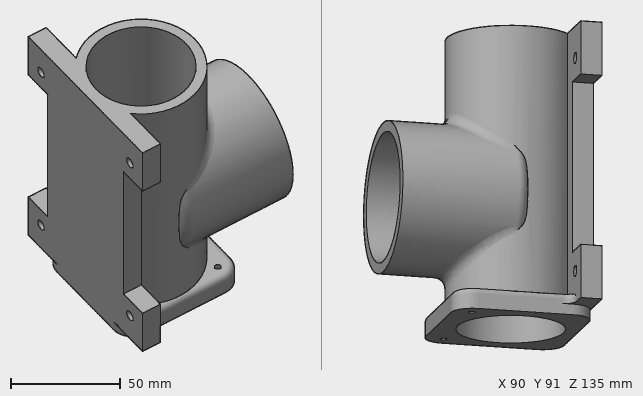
import cadquery as cq

height = 135.0
bore_radius = 25.0
wall = 5.0
pipe_radius = bore_radius + wall
pipe_axis_y = 31.0

branch_radius = 35.0
branch_bore_radius = branch_radius - wall
branch_end_y = 91.0
branch_axis_z = 58.0
branch_length = branch_end_y - pipe_axis_y
blend_radius = 5.0

flange_size = 65.0
flange_thickness = 10.0
flange_corner_radius = 10.0
flange_rim_radius = 3.0
flange_blend_radius = 5.0
flange_hole_diameter = 3.0
flange_hole_offset = 25.0

plate_width = 90.0
plate_thickness = 10.0
plate_bottom_z = 5.0
plate_height = height - plate_bottom_z
web_width = 2 * pipe_radius
ear_height = 25.0
ear_hole_diameter = 5.0
ear_hole_side_distance = 10.0
ear_hole_end_distance = 15.0


def block(width, depth, base_z, block_height):
    """Block centred on X = 0 with its back face on Y = 0."""
    return (
        cq.Workplane("XY", origin=(0, 0, base_z))
        .box(width, depth, block_height, centered=(True, False, False))
    )


def upright_cylinder(radius):
    """Full-height cylinder on the main pipe axis, its seam line turned to -Y, inside the plate."""
    axis_plane = cq.Plane(origin=(0, pipe_axis_y, 0), xDir=(0, -1, 0), normal=(0, 0, 1))
    return cq.Workplane(axis_plane).circle(radius).extrude(height)


def branch_cylinder(radius, both=False):
    """Cylinder on the branch axis, from the main pipe axis to +Y or to both sides."""
    start = (0, pipe_axis_y, branch_axis_z)
    return cq.Workplane("XZ", origin=start).circle(radius).extrude(-branch_length, both=both)


def make_branch(pipe):
    """Solid branch outside the pipe, blended into it and rounded at its two end shoulders."""
    cross = pipe.union(branch_cylinder(branch_radius, both=True))
    junction_loops = cross.edges("%BSPLINE")
    cross = junction_loops.fillet(blend_radius)

    depth_behind_axis = branch_length
    behind_axis = block(plate_width, depth_behind_axis, 0, height)
    behind_axis = behind_axis.translate((0, pipe_axis_y - depth_behind_axis, 0))
    half_cross = cross.cut(behind_axis)
    shoulder_arcs = half_cross.faces("<Y").edges("%CIRCLE")
    half_cross = shoulder_arcs.fillet(blend_radius)
    return half_cross.cut(pipe)


def make_plate():
    """Back plate: a central web with four ears, each with a hole."""
    plate = block(web_width, plate_thickness, plate_bottom_z, plate_height)
    for ear_base_z in (plate_bottom_z, height - ear_height):
        plate = plate.union(block(plate_width, plate_thickness, ear_base_z, ear_height))
    hole_x = plate_width / 2 - ear_hole_side_distance
    hole_heights = (plate_bottom_z + ear_hole_end_distance, height - ear_hole_end_distance)
    hole_points = [(x, z) for x in (-hole_x, hole_x) for z in hole_heights]
    holes = (
        cq.Workplane("XZ")
        .pushPoints(hole_points)
        .circle(ear_hole_diameter / 2)
        .extrude(-plate_thickness)
    )
    return plate.cut(holes)


def make_flange():
    """Foot flange: a square lower slab under an upper slab that flares out onto the plate."""
    lower = block(flange_size, flange_size, 0, plate_bottom_z)
    lower = lower.edges("|Z").fillet(flange_corner_radius)

    side_x = flange_size / 2
    flare_x = side_x + flange_blend_radius
    flare_end_y = plate_thickness + flange_blend_radius
    corner_x = side_x - flange_corner_radius
    corner_y = flange_size - flange_corner_radius
    upper = (
        cq.Workplane("XY", origin=(0, 0, plate_bottom_z))
        .moveTo(-flare_x, plate_thickness)
        .radiusArc((-side_x, flare_end_y), -flange_blend_radius)
        .lineTo(-side_x, corner_y)
        .radiusArc((-corner_x, flange_size), flange_corner_radius)
        .lineTo(corner_x, flange_size)
        .radiusArc((side_x, corner_y), flange_corner_radius)
        .lineTo(side_x, flare_end_y)
        .radiusArc((flare_x, plate_thickness), -flange_blend_radius)
        .close()
        .extrude(flange_thickness - plate_bottom_z)
    )
    upper = upper.faces(">Z").edges(">Y").fillet(flange_rim_radius)
    return lower, upper


def make_flange_holes():
    """Two small vertical holes near the +Y corners of the flange."""
    hole_y = pipe_axis_y + flange_hole_offset
    return (
        cq.Workplane("XY")
        .pushPoints([(-flange_hole_offset, hole_y), (flange_hole_offset, hole_y)])
        .circle(flange_hole_diameter / 2)
        .extrude(flange_thickness)
    )


main_pipe = upright_cylinder(pipe_radius)
lower_flange, upper_flange = make_flange()
body = upper_flange.union(make_plate()).union(lower_flange).union(main_pipe)
body = body.union(make_branch(main_pipe))
body = body.cut(make_flange_holes())
body = body.cut(upright_cylinder(bore_radius))
result = body.cut(branch_cylinder(branch_bore_radius))